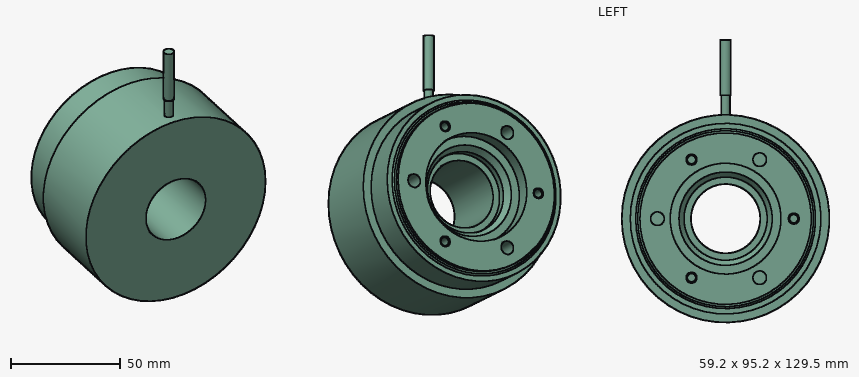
import cadquery as cq

total_length = 59.2
nose_length = 2.0
collar_start = 2.5
body_start = 20.3

nose_radius = 39.3
bevel_radius = 40.3
bevel_base_radius = 41.2
collar_radius = 43.7
body_diameter = 95.2
body_radius = body_diameter / 2

mouth_radius = 25.4
mouth_depth = 8.3
taper_radius = 21.4
seat_radius = 19.0
taper_end = 11.9
seat_depth = 16.2
bore_radius = 15.8

hole_circle_radius = 31.2
holes_per_set = 3
plain_hole_radius = 3.1
plain_hole_depth = 13.0
tapped_hole_radius = 2.0
tapped_hole_depth = 13.0
tapped_hole_mouth_radius = 2.5
first_plain_angle = 0
first_tapped_angle = first_plain_angle + 180 / holes_per_set

overall_height = 129.5
cable_x = 52.9
cable_core_radius = 2.1
cable_sheath_radius = 2.5
cable_sheath_length = 25.5
cable_top = overall_height - body_radius
cable_embedment = 3.9
cable_root = body_radius - cable_embedment


def turned_body():
    """Ring revolved about the X axis, including the stepped bore."""
    profile = [
        (0, mouth_radius),
        (0, nose_radius),
        (nose_length, nose_radius),
        (nose_length, bevel_radius),
        (collar_start, bevel_base_radius),
        (collar_start, collar_radius),
        (body_start, collar_radius),
        (body_start, body_radius),
        (total_length, body_radius),
        (total_length, bore_radius),
        (seat_depth, bore_radius),
        (seat_depth, seat_radius),
        (taper_end, seat_radius),
        (mouth_depth, taper_radius),
        (mouth_depth, mouth_radius),
    ]
    return cq.Workplane("XY").polyline(profile).close().revolve(360, (0, 0, 0), (1, 0, 0))


def face_holes(first_angle, radius, depth):
    """Blind holes evenly spaced on the hole circle; angles run from +Y toward +Z."""
    return (
        cq.Workplane("YZ")
        .polarArray(hole_circle_radius, first_angle, 360, holes_per_set)
        .circle(radius)
        .extrude(depth)
    )


def tapped_hole_chamfers():
    """45 degree countersinks at the mouths of the tapped holes."""
    chamfer_depth = tapped_hole_mouth_radius - tapped_hole_radius
    cone = cq.Solid.makeCone(
        tapped_hole_mouth_radius, tapped_hole_radius, chamfer_depth,
        cq.Vector(0, hole_circle_radius, 0), cq.Vector(1, 0, 0),
    )
    cones = cq.Workplane("YZ")
    for index in range(holes_per_set):
        angle = first_tapped_angle + index * 360 / holes_per_set
        cones = cones.add(cone.rotate(cq.Vector(0, 0, 0), cq.Vector(1, 0, 0), angle))
    return cones.combine()


def cable():
    """Thin core rising out of the body into a thicker sheath."""
    sheath_bottom = cable_top - cable_sheath_length
    core = (
        cq.Workplane("XY", origin=(cable_x, 0, cable_root))
        .circle(cable_core_radius)
        .extrude(sheath_bottom - cable_root)
    )
    sheath = (
        cq.Workplane("XY", origin=(cable_x, 0, sheath_bottom))
        .circle(cable_sheath_radius)
        .extrude(cable_sheath_length)
    )
    return core.union(sheath)


result = (
    turned_body()
    .cut(face_holes(first_plain_angle, plain_hole_radius, plain_hole_depth))
    .cut(face_holes(first_tapped_angle, tapped_hole_radius, tapped_hole_depth))
    .cut(tapped_hole_chamfers())
    .union(cable())
)